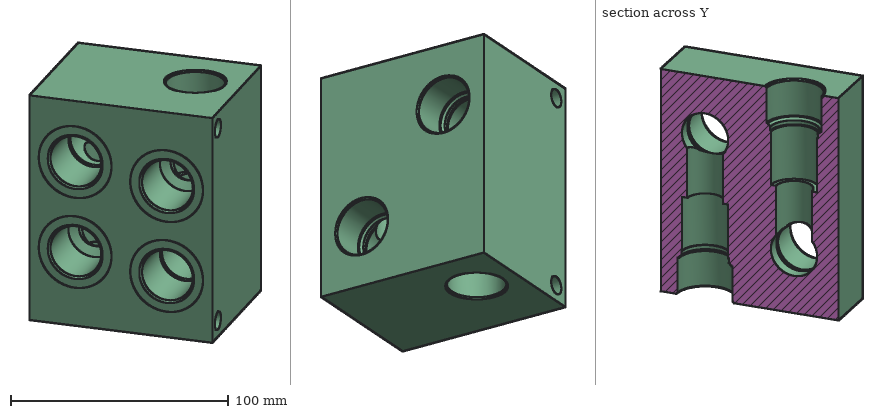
import cadquery as cq
import math

width = 88.9
depth = 69.9
height = 111.1

column_inset = 22.2
right_column_x = width - column_inset
low_hole_z = 30.2
hole_pitch = 44.5
port_y = 41.2

spotface_diameter = 35.3
spotface_depth = 0.2
socket_mouth_diameter = 26.7
socket_diameter = 24.7
socket_depth = 26.7
drill_tip_half_angle = 59.0
blind_tip_diameter = 16.0

port_mouth_radius = 14.5
port_thread_radius = 13.7
port_thread_depth = 18.2
port_step_radius = 13.1
port_step_depth = 18.5
port_relief_radius = 11.8
port_relief_depth = 21.8
pilot_radius = 11.5
gallery_diameter = 17.8

cross_hole_diameter = 8.7
cross_hole_inset = 8.0


def revolved_cutter(profile, origin, direction):
    """Solid of revolution from (radius, depth) points, sunk from origin along direction."""
    outline = [(0, profile[0][1])] + profile + [(0, profile[-1][1])]
    cutter = cq.Workplane("XZ").polyline(outline).close().revolve(360, (0, 0), (0, 1))
    placement = cq.Plane(origin=origin, xDir=(1, 0, 0), normal=direction)
    return cutter.val().moved(cq.Location(placement))


def tip_length(start_radius, end_radius):
    """Axial length of a drill-point cone between two radii."""
    return (start_radius - end_radius) / math.tan(math.radians(drill_tip_half_angle))


def front_socket(x, z, bore_diameter, bore_end):
    """Spotfaced socket whose drill point narrows to a bore ending at depth bore_end."""
    mouth_radius = socket_mouth_diameter / 2
    socket_radius = socket_diameter / 2
    bore_radius = bore_diameter / 2
    profile = [
        (spotface_diameter / 2, 0),
        (spotface_diameter / 2, spotface_depth),
        (mouth_radius, spotface_depth),
        (socket_radius, spotface_depth + mouth_radius - socket_radius),
        (socket_radius, socket_depth),
        (bore_radius, socket_depth + tip_length(socket_radius, bore_radius)),
        (bore_radius, bore_end),
    ]
    return revolved_cutter(profile, (x, 0, z), (0, 1, 0))


def stepped_port(origin, direction, pilot_end):
    """Chamfered port with a ledge, 45 degree cones around a relief and a flat-ended pilot."""
    profile = [
        (port_mouth_radius, 0),
        (port_thread_radius, port_mouth_radius - port_thread_radius),
        (port_thread_radius, port_thread_depth),
        (port_step_radius, port_thread_depth),
        (port_step_radius, port_step_depth),
        (port_relief_radius, port_step_depth + port_step_radius - port_relief_radius),
        (port_relief_radius, port_relief_depth),
        (pilot_radius, port_relief_depth + port_relief_radius - pilot_radius),
        (pilot_radius, pilot_end),
    ]
    return revolved_cutter(profile, origin, direction)


def right_column_cutters():
    """Through hole, blind hole, top port and the gallery that joins them."""
    x = right_column_x
    blind_hole_z = low_hole_z + hole_pitch
    pilot_end = height - blind_hole_z + socket_diameter / 2
    gallery_length = height - low_hole_z
    gallery = cq.Solid.makeCylinder(
        gallery_diameter / 2, gallery_length, cq.Vector(x, port_y, low_hole_z)
    )
    return [
        front_socket(x, low_hole_z, 2 * pilot_radius, depth),
        front_socket(x, blind_hole_z, blind_tip_diameter, port_y),
        stepped_port((x, depth, low_hole_z), (0, -1, 0), depth),
        stepped_port((x, port_y, height), (0, 0, -1), pilot_end),
        gallery,
    ]


def half_turn(shape):
    """Copy of a shape turned 180 degrees about the block's front-to-back centre line."""
    axis_start = cq.Vector(width / 2, 0, height / 2)
    axis_end = cq.Vector(width / 2, depth, height / 2)
    return shape.rotate(axis_start, axis_end, 180)


block = cq.Workplane("XY").box(width, depth, height, centered=False)

for cutter in right_column_cutters():
    block = block.cut(cq.Workplane(cutter))
    block = block.cut(cq.Workplane(half_turn(cutter)))

for z in (cross_hole_inset, height - cross_hole_inset):
    cross_hole = cq.Solid.makeCylinder(
        cross_hole_diameter / 2, width, cq.Vector(0, cross_hole_inset, z), cq.Vector(1, 0, 0)
    )
    block = block.cut(cq.Workplane(cross_hole))

result = block